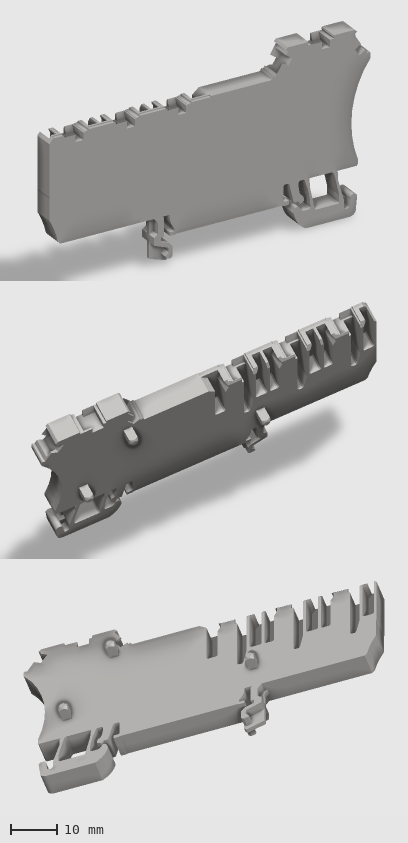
import cadquery as cq

LENGTH = 81.1
HEIGHT = 45.0
WIDTH = 5.1
BASE_Z = 11.9
DECK_Z = 38.1
RAIL_Z = 7.0
LIP_DROP = 0.2

MODULE_PITCH = 13.0
MODULES = [29.85 - MODULE_PITCH * i for i in range(3)]
DECK_NOTCH_Z = 37.4
POCKET_DEPTH = 3.9
POCKET_BOTTOM_Z = 25.8
POCKET_CORNER = 0.3
SLOT_BOTTOM_Z = 20.85
SLOT_WIDTH = 2.3
BEVEL_WIDTH = 0.8
BEVEL_HEIGHT = 1.2

RIDGE_STEP_X = 4.4
RIDGE_STEP = 0.25
RIDGE_HIGH_GAP = 6.1
RIDGE_LOW_GAP = 0.4
RIDGE_ROW_START = 1.1
RIDGE_ROW_END = 40.8

MARKER_DEPTH = 1.8
MARKER_LENGTH = 2.75
MARKER_FAR_X = 4.3
MARKER_LIP_X = 1.0
MARKER_LIP_TOP_X = 0.4
MARKER_BRANCH = 1.95

PIN_LENGTH = 3.4
PIN_SIZE = 2.0
PIN_TIP_RADIUS = 0.7
PIN_CENTRES = [(60.25, 36.25), (71.05, 18.65), (28.2, 18.65)]

WEB_THICKNESS = 1.0


def prism(points, x_start, x_end):
    """Straight extrusion along X of a (Y, Z) polygon."""
    outline = cq.Workplane("YZ", origin=(x_start, 0, 0)).polyline(points).close()
    return outline.extrude(x_end - x_start)


def box(y_range, z_range, x_range):
    """Axis-aligned block from its Y, Z and X limits."""
    (y0, y1), (z0, z1), (x0, x1) = y_range, z_range, x_range
    return cq.Workplane("XY").box(x1 - x0, y1 - y0, z1 - z0, centered=False).translate((x0, y0, z0))


def body():
    """Main plate with the head, the concave back and the stepped deck."""
    outline = (
        cq.Workplane("YZ")
        .moveTo(LENGTH, 37.2)
        .lineTo(LENGTH, 38.45)
        .lineTo(80.85, 38.8)
        .lineTo(80.3, 38.6)
        .lineTo(77.1, 43.95)
        .lineTo(77.7, 44.45)
        .lineTo(77.1, HEIGHT)
        .lineTo(71.85, HEIGHT)
        .lineTo(71.7, 44.6)
        .lineTo(71.85, 44.2)
        .lineTo(65.45, 44.2)
        .lineTo(65.45, HEIGHT)
        .lineTo(60.2, HEIGHT)
        .lineTo(59.7, 44.45)
        .lineTo(60.25, 44.0)
        .lineTo(56.9, 38.5)
        .lineTo(56.5, 38.85)
        .lineTo(56.2, DECK_Z)
    )
    for y in MODULES:
        outline = (
            outline.lineTo(y + 5.9, DECK_Z)
            .lineTo(y + 5.8, 37.7)
            .lineTo(y + 5.1, 37.55)
            .lineTo(y + 5.0, DECK_NOTCH_Z)
            .lineTo(y + 0.5, DECK_NOTCH_Z)
            .lineTo(y + 0.4, 37.55)
            .lineTo(y - 0.3, 37.7)
            .lineTo(y - RIDGE_LOW_GAP, DECK_Z)
        )
    outline = (
        outline.lineTo(1.2, DECK_Z)
        .lineTo(0, 36.7)
        .lineTo(0, 23.85)
        .lineTo(0.1, 23.5)
        .lineTo(0.1, 18.1)
        .threePointArc((1.3, 15.5), (2.2, 12.5))
        .lineTo(2.75, BASE_Z)
        .lineTo(30.4, BASE_Z)
        .threePointArc((30.7, 9.7), (31.6, 8.35))
        .lineTo(31.6, 7.7)
        .lineTo(30.4, 7.7)
        .lineTo(30.4, RAIL_Z - LIP_DROP)
        .lineTo(31.9, RAIL_Z - LIP_DROP)
        .lineTo(31.9, RAIL_Z)
        .lineTo(59.05, RAIL_Z)
        .lineTo(59.05, RAIL_Z - LIP_DROP)
        .lineTo(60.5, RAIL_Z - LIP_DROP)
        .lineTo(60.5, 7.8)
        .lineTo(59.4, 7.8)
        .lineTo(59.05, 8.1)
        .lineTo(59.05, 11.6)
        .lineTo(59.4, BASE_Z)
        .lineTo(60.25, BASE_Z)
        .lineTo(60.6, 11.6)
        .lineTo(61.7, 7.0)
        .lineTo(62.8, 7.0)
        .lineTo(63.3, 6.25)
        .lineTo(64.3, 6.8)
        .lineTo(64.15, 7.9)
        .lineTo(63.4, 8.35)
        .threePointArc((63.0, 9.7), (62.9, 11.6))
        .lineTo(63.25, BASE_Z)
        .lineTo(77.6, BASE_Z)
        .lineTo(77.85, 12.3)
        .lineTo(77.85, 13.55)
        .threePointArc((76.2, 22.55), (79.3, 34.55))
        .close()
    )
    return outline.extrude(WIDTH)


def fixed_foot():
    """Sprung foot hanging on two slanted legs, with a window between them."""
    foot = (
        cq.Workplane("YZ")
        .moveTo(72.6, BASE_Z)
        .lineTo(72.9, 11.5)
        .lineTo(72.9, 9.6)
        .lineTo(74.4, 4.5)
        .lineTo(74.4, 2.75)
        .threePointArc((75.1, 2.1), (75.75, 2.75))
        .lineTo(76.0, 4.2)
        .threePointArc((77.0, 5.35), (77.7, 4.6))
        .lineTo(77.4, 1.7)
        .threePointArc((77.0, 0.5), (75.75, 0))
        .lineTo(64.7, 0)
        .threePointArc((62.85, 1.6), (61.7, 4.3))
        .lineTo(62.1, 5.4)
        .threePointArc((62.7, 5.75), (63.2, 5.35))
        .threePointArc((63.7, 4.6), (64.5, 4.4))
        .lineTo(65.6, 4.4)
        .lineTo(65.9, 4.7)
        .threePointArc((65.5, 8.1), (64.5, 11.6))
        .lineTo(64.3, BASE_Z)
        .lineTo(64.3, BASE_Z + 0.8)
        .lineTo(72.6, BASE_Z + 0.8)
        .close()
        .extrude(WIDTH)
    )
    window = prism(
        [(71.4, BASE_Z), (65.6, BASE_Z), (65.85, 9.3), (67.0, 4.1), (67.3, 3.9), (72.9, 3.9), (73.15, 4.1),
         (73.15, 5.9), (72.1, 10.55), (71.8, 11.6)],
        0, WIDTH,
    )
    web_start = (WIDTH - WEB_THICKNESS) / 2
    notch_web = box((74.3, 76.1), (2.0, 4.0), (web_start, web_start + WEB_THICKNESS))
    return foot.union(notch_web).cut(window)


def hinged_foot():
    """Latching foot: full-width skin along its inner edge, thin web elsewhere."""
    top = BASE_Z + 0.8
    foot = prism(
        [(28.6, BASE_Z), (28.95, 11.6), (28.95, RAIL_Z), (28.2, RAIL_Z), (28.2, 5.8), (30.3, 5.1), (31.15, 4.1),
         (31.15, 0.5), (30.65, 0), (26.4, 1.4), (26.4, 10.7), (25.7, BASE_Z), (25.7, top), (28.6, top)],
        0, WIDTH,
    )
    upper_recess = [(25.15, BASE_Z), (26.4, BASE_Z), (27.4, 10.55), (27.4, 7.95), (26.4, 7.3), (25.15, 7.3)]
    lower_recess = [(25.95, 5.6), (26.4, 5.4), (30.0, 4.05), (30.2, 3.0), (29.35, 2.0), (29.5, 1.55), (30.5, 1.3),
                    (31.15, 1.7), (31.6, 1.7), (31.6, -0.8), (25.95, -0.8)]
    web_start = (WIDTH - WEB_THICKNESS) / 2
    web_end = web_start + WEB_THICKNESS
    for recess in (upper_recess, lower_recess):
        for side in ((0, web_start), (web_end, WIDTH)):
            foot = foot.cut(prism(recess, *side))
    return foot


def marker_notch(y, z, turn):
    """Channel sunk around an edge point (Y, Z), turned by `turn` degrees about X.

    The main part opens on the left face and slopes up to the right face; a side
    branch behind a lip opens on the right face.
    """
    overshoot = 1.6
    slope = MARKER_DEPTH / (WIDTH - MARKER_FAR_X)
    half = MARKER_LENGTH / 2
    section = [
        (0, overshoot),
        (0, -MARKER_DEPTH),
        (MARKER_FAR_X, -MARKER_DEPTH),
        (WIDTH + overshoot / slope, overshoot),
    ]
    notch = cq.Workplane("XZ").polyline(section).close().extrude(half, both=True)
    branch_section = [
        (MARKER_LIP_X, -MARKER_DEPTH),
        (MARKER_LIP_TOP_X, 0),
        (MARKER_LIP_TOP_X, overshoot),
        (WIDTH, overshoot),
        (WIDTH, -MARKER_DEPTH),
    ]
    branch = cq.Workplane("XZ", origin=(0, half, 0)).polyline(branch_section).close().extrude(-MARKER_BRANCH)
    return notch.union(branch).rotate((0, 0, 0), (1, 0, 0), turn).translate((0, y, z))


def front_pocket(y_low, y_high, entry):
    """Pocket above a wire slot: bulged low-Y wall, high-Y wall flared by `entry` at the mouth."""
    bulge = 0.7
    points = [
        (y_low + POCKET_CORNER, POCKET_BOTTOM_Z),
        (y_high - POCKET_CORNER, POCKET_BOTTOM_Z),
        (y_high, POCKET_BOTTOM_Z + POCKET_CORNER),
        (y_high, DECK_Z - 1.4),
        (y_high + entry, DECK_Z),
        (y_low, DECK_Z),
        (y_low - bulge, 36.8),
        (y_low - bulge, 35.8),
        (y_low, 34.5),
        (y_low, POCKET_BOTTOM_Z + POCKET_CORNER),
    ]
    return prism(points, 0, POCKET_DEPTH)


def rear_pocket(y_low, y_high):
    """Pocket below a wire slot: its high-Y wall leans inwards at the mouth."""
    lean = 0.8
    points = [
        (y_low + POCKET_CORNER, POCKET_BOTTOM_Z),
        (y_high - POCKET_CORNER, POCKET_BOTTOM_Z),
        (y_high, POCKET_BOTTOM_Z + POCKET_CORNER),
        (y_high, 36.65),
        (y_high - lean, 37.8),
        (y_high - lean, DECK_Z),
        (y_low, DECK_Z),
        (y_low, POCKET_BOTTOM_Z + POCKET_CORNER),
    ]
    return prism(points, 0, POCKET_DEPTH)


def wire_slot(y):
    """Deep narrow slot that tapers to a chamfered tip."""
    slot = (
        cq.Workplane("YZ")
        .moveTo(y, DECK_NOTCH_Z - MARKER_DEPTH)
        .lineTo(y, 25.15)
        .lineTo(y + 0.7, 21.3)
        .lineTo(y + 1.05, SLOT_BOTTOM_Z)
        .lineTo(y + 1.9, SLOT_BOTTOM_Z)
        .lineTo(y + SLOT_WIDTH, 21.3)
        .lineTo(y + SLOT_WIDTH, DECK_NOTCH_Z - MARKER_DEPTH)
        .close()
    )
    return slot.extrude(POCKET_DEPTH)


def shallow_tip(y):
    """Block that keeps the tip of a wire slot shallower than the rest."""
    tip_top = 22.0
    tip_depth = 3.3
    return box((y, y + SLOT_WIDTH), (SLOT_BOTTOM_Z, tip_top), (tip_depth, POCKET_DEPTH))


def deck_bevel():
    """Steep bevel along the left edge of the deck, over the whole module row."""
    section = [
        (0, DECK_Z - BEVEL_HEIGHT),
        (BEVEL_WIDTH, DECK_Z),
        (0, DECK_Z),
    ]
    row_start = 1.2
    row_end = MODULES[0] + 6.9
    bevel = cq.Workplane("XZ", origin=(0, row_start, 0)).polyline(section).close()
    return bevel.extrude(row_start - row_end)


def locating_pin(y, z):
    """Square pin on the left face, its tip turned to a 45 degree cone."""
    pin = cq.Workplane("YZ").rect(PIN_SIZE, PIN_SIZE).extrude(-PIN_LENGTH)
    cone = (
        cq.Workplane("XY")
        .polyline([(-PIN_LENGTH, 0), (-PIN_LENGTH, PIN_TIP_RADIUS), (0, PIN_TIP_RADIUS + PIN_LENGTH), (0, 0)])
        .close()
        .revolve(360, (0, 0, 0), (1, 0, 0))
    )
    return pin.intersect(cone).translate((0, y, z))


result = body().union(fixed_foot()).union(hinged_foot())

FLANK_SLOPE = 58.0
result = result.cut(marker_notch(67.5, 44.2, 0))
result = result.cut(marker_notch(58.1, 40.3, FLANK_SLOPE))
result = result.cut(marker_notch(77.9, 42.3, -FLANK_SLOPE))

result = result.cut(deck_bevel())
FRONT_GAP = 6.7
REAR_GAP = 0.65
for index, slot_y in enumerate(MODULES):
    first = index == 0
    last = index == len(MODULES) - 1
    front_width = 2.5 if first else 2.2
    rear_width = 2.6 if last else 2.75
    front_low = slot_y + FRONT_GAP
    rear_high = slot_y - REAR_GAP
    result = result.cut(front_pocket(front_low, front_low + front_width, 1.6 if first else 0))
    result = result.cut(rear_pocket(rear_high - rear_width, rear_high))
    slot = wire_slot(slot_y)
    if first:
        slot = slot.cut(shallow_tip(slot_y))
    result = result.cut(slot)
    result = result.cut(marker_notch(slot_y + MARKER_LENGTH / 2, DECK_NOTCH_Z, 0))

ridge_high_ends = [RIDGE_ROW_END] + [y - RIDGE_LOW_GAP for y in MODULES]
ridge_low_ends = [y + RIDGE_HIGH_GAP for y in MODULES] + [RIDGE_ROW_START]
for ridge_span in zip(ridge_low_ends, ridge_high_ends):
    result = result.cut(box(ridge_span, (DECK_Z - RIDGE_STEP, DECK_Z), (RIDGE_STEP_X, WIDTH)))

for pin_y, pin_z in PIN_CENTRES:
    result = result.union(locating_pin(pin_y, pin_z))